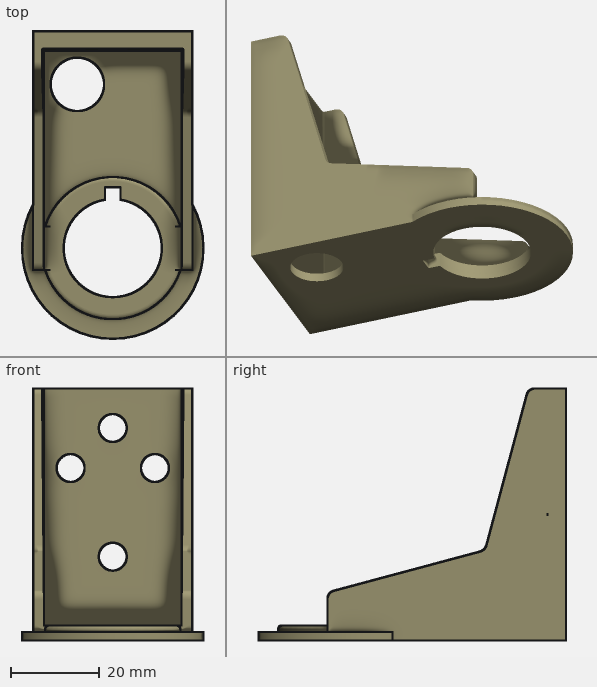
import cadquery as cq
import math


body_width = 36.0
body_height = 57.0
back_to_axis = 49.0
cheek_reach = 4.9
floor_thickness = 2.0
cheek_thickness = 2.5
back_thickness = 4.45
draft_angle = 0.5

slope_angle = 15.0
cheek_top_depth = 8.55
cheek_front_height = 10.9
cheek_radius = 2.0

flange_radius = 20.5
flange_thickness = 2.0
boss_radius = 16.05
boss_height = 3.5
boss_edge_radius = 1.0

bore_diameter = 22.1
key_width = 3.4
key_reach = 13.7
access_hole_diameter = 12.0
access_hole_x = -8.0
access_hole_from_back = 12.0
mount_hole_diameter = 6.25
side_hole_spacing = 19.05
top_hole_height = 48.0
side_hole_height = 39.0
bottom_hole_height = 19.0

back_y = back_to_axis
front_y = -cheek_reach


def side_profile_block():
    """Solid block with the stepped outline of the cheeks."""
    slope = math.tan(math.radians(slope_angle))
    cheek_top_y = back_y - cheek_top_depth
    height_left = body_height - cheek_front_height - slope * (cheek_top_y - front_y)
    steep_drop = height_left / (1 - slope**2)
    corner = (cheek_top_y - slope * steep_drop, body_height - steep_drop)
    outline = [
        (back_y, 0),
        (back_y, body_height),
        (cheek_top_y, body_height),
        corner,
        (front_y, cheek_front_height),
        (front_y, 0),
    ]
    block = cq.Workplane("YZ").polyline(outline).close().extrude(body_width / 2, both=True)
    rounded = [outline[2], corner, outline[4]]
    for y, z in rounded:
        block = block.edges(cq.selectors.NearestToPointSelector((0, y, z))).fillet(cheek_radius)
    return block


def pocket():
    """Drafted space between the cheeks, open to the front and top."""
    pocket_width = body_width - 2 * cheek_thickness
    pocket_back_y = back_y - back_thickness
    pocket_length = pocket_back_y + flange_radius
    return (
        cq.Workplane("XY", origin=(0, pocket_back_y - pocket_length / 2, floor_thickness))
        .rect(pocket_width, pocket_length)
        .extrude(body_height, taper=-draft_angle)
    )


def flange_and_boss():
    """Round flange with a rounded boss, bridged sideways to both cheeks."""
    flange = cq.Workplane("XY").circle(flange_radius).extrude(flange_thickness)
    boss = cq.Workplane("XY").circle(boss_radius).extrude(boss_height)
    boss = boss.faces(">Z").edges().fillet(boss_edge_radius)
    bridge = cq.Workplane("XY").rect(body_width, 2 * cheek_reach).extrude(boss_height)
    return flange.union(boss).union(bridge)


def keyed_bore():
    """Bore with a key slot on the side of the back wall."""
    bore = cq.Workplane("XY").circle(bore_diameter / 2).extrude(boss_height)
    key = cq.Workplane("XY").center(0, key_reach / 2).rect(key_width, key_reach).extrude(boss_height)
    return bore.union(key)


def access_hole():
    """Round hole through the floor, beside the back wall."""
    return (
        cq.Workplane("XY")
        .center(access_hole_x, back_y - access_hole_from_back)
        .circle(access_hole_diameter / 2)
        .extrude(floor_thickness)
    )


def mounting_holes():
    """Round holes through the back wall: one high, a pair below it and one low."""
    centres = [
        (0, top_hole_height),
        (-side_hole_spacing / 2, side_hole_height),
        (side_hole_spacing / 2, side_hole_height),
        (0, bottom_hole_height),
    ]
    return (
        cq.Workplane("XZ", origin=(0, back_y, 0))
        .pushPoints(centres)
        .circle(mount_hole_diameter / 2)
        .extrude(back_thickness)
    )


result = (
    side_profile_block()
    .cut(pocket())
    .union(flange_and_boss())
    .cut(keyed_bore())
    .cut(access_hole())
    .cut(mounting_holes())
)